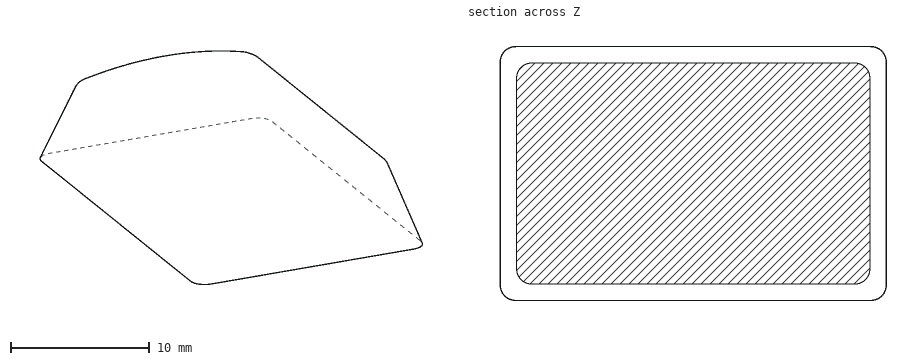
import cadquery as cq
import math

base_length = 27.82
base_width = 18.3
crown_height = 7.2

wall_draft = 18.0
corner_radius = 1.2
crown_radius = 24.0
top_edge_radius = 0.6


def make_tapered_block():
    """Rectangular block with four drafted walls, reaching the crown's peak."""
    return cq.Workplane("XY").rect(base_length, base_width).extrude(crown_height, taper=wall_draft)


def round_corners(block):
    """Round the four sloping edges where neighbouring walls meet."""
    return block.edges("not #Z").fillet(corner_radius)


def make_crown_envelope():
    """Prism along X whose upper side is the cylindrical crown."""
    half_width = base_width / 2
    crown_drop = crown_radius - math.sqrt(crown_radius**2 - half_width**2)
    shoulder_height = crown_height - crown_drop
    return (
        cq.Workplane("YZ")
        .moveTo(-half_width, 0)
        .lineTo(half_width, 0)
        .lineTo(half_width, shoulder_height)
        .threePointArc((0, crown_height), (-half_width, shoulder_height))
        .close()
        .extrude(base_length / 2, both=True)
    )


def soften_top_edge(cap):
    """Blend the rim of the crowned top into the walls."""
    return cap.faces(">Z").edges().fillet(top_edge_radius)


drafted_body = round_corners(make_tapered_block())
crowned_body = drafted_body.intersect(make_crown_envelope())
result = soften_top_edge(crowned_body)